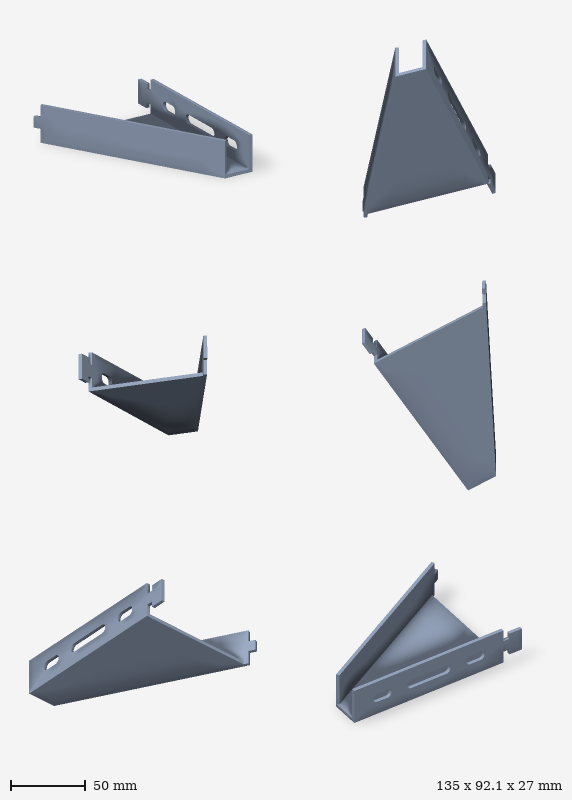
import cadquery as cq
import math

total_length = 135.0
far_end_width = 22.0
height = 27.0
thickness = 2.5

wall_start = 15.0
hook_center_z = height / 2
hook_head_length = 10.0
hook_head_height = 17.5
hook_neck_height = 9.0

slot_height = 7.0
slot_spacing = 37.5
short_slot_length = 15.0
long_slot_length = 35.0
slot_center_x = (wall_start + total_length) / 2
slot_center_z = height / 2

flange_angle = 29.0
flange_length = 139.5
tab_length = 5.0
tab_height = 8.0
tab_center_z = 14.0

angle = math.radians(flange_angle)
along = (math.cos(angle), math.sin(angle))
across = (-math.sin(angle), math.cos(angle))


def flange_point(distance, depth):
    """XY point measured back from the far outer corner and inward from the outer face."""
    return (
        total_length - distance * along[0] + depth * across[0],
        -far_end_width - distance * along[1] + depth * across[1],
    )


def box(x_min, x_max, y_min, y_max, z_center, z_size):
    """Axis-aligned block centred at a given height."""
    return (
        cq.Workplane("XY")
        .box(x_max - x_min, y_max - y_min, z_size)
        .translate(((x_min + x_max) / 2, (y_min + y_max) / 2, z_center))
    )


def flange_strip(near, far, z_min, z_size):
    """Sheet strip in the flange plane between two distances from its far end."""
    corners = [
        flange_point(near, 0),
        flange_point(far, 0),
        flange_point(far, thickness),
        flange_point(near, thickness),
    ]
    return cq.Workplane("XY").workplane(offset=z_min).polyline(corners).close().extrude(z_size)


def make_base():
    """Plate between the wall and the inner face of the flange."""
    inner_x, inner_y = flange_point(0, thickness)
    near_edge_y = inner_y - (inner_x - wall_start) * math.tan(angle)
    outline = [
        (wall_start, 0),
        (total_length, 0),
        flange_point(0, 0),
        (inner_x, inner_y),
        (wall_start, near_edge_y),
    ]
    return cq.Workplane("XY").polyline(outline).close().extrude(thickness)


def make_wall():
    """Upright wall with its T-shaped hook."""
    wall = box(wall_start, total_length, -thickness, 0, height / 2, height)
    neck = box(0, wall_start, -thickness, 0, hook_center_z, hook_neck_height)
    head = box(0, hook_head_length, -thickness, 0, hook_center_z, hook_head_height)
    return wall.union(neck).union(head)


def make_slot(offset, length):
    """Cutter for a round-ended slot, offset along X from the middle of the wall."""
    return (
        cq.Workplane("XZ")
        .center(slot_center_x + offset, slot_center_z)
        .slot2D(length, slot_height)
        .extrude(thickness)
    )


def make_flange():
    """Upright slanted flange with its end tab."""
    flange = flange_strip(0, flange_length, 0, height)
    tab_bottom = tab_center_z - tab_height / 2
    tab = flange_strip(flange_length, flange_length + tab_length, tab_bottom, tab_height)
    return flange.union(tab)


slots = (
    (-slot_spacing, short_slot_length),
    (0, long_slot_length),
    (slot_spacing, short_slot_length),
)

wall = make_wall()
for slot_offset, slot_length in slots:
    wall = wall.cut(make_slot(slot_offset, slot_length))

result = make_base().union(wall).union(make_flange())